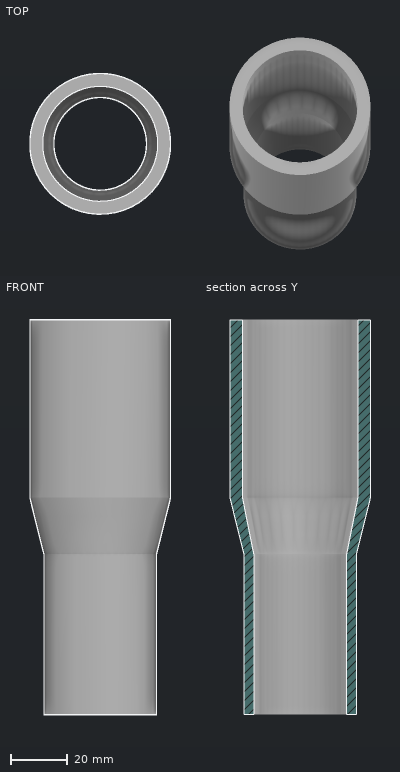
import cadquery as cq

total_height = 140.0
upper_outer_radius = 50.0 / 2
upper_wall = 4.6
lower_outer_radius = 40.0 / 2
lower_wall = 3.6
lower_length = 57.0
taper_length = 20.0

upper_inner_radius = upper_outer_radius - upper_wall
lower_inner_radius = lower_outer_radius - lower_wall
taper_top = lower_length + taper_length


def stepped_body(lower_radius, upper_radius):
    """Solid of revolution about Z: two cylinders joined by a cone."""
    return (
        cq.Workplane("XZ")
        .moveTo(0, 0)
        .lineTo(lower_radius, 0)
        .lineTo(lower_radius, lower_length)
        .lineTo(upper_radius, taper_top)
        .lineTo(upper_radius, total_height)
        .lineTo(0, total_height)
        .close()
        .revolve(360, (0, 0, 0), (0, 1, 0))
    )


outside = stepped_body(lower_outer_radius, upper_outer_radius)
bore = stepped_body(lower_inner_radius, upper_inner_radius)
result = outside.cut(bore)